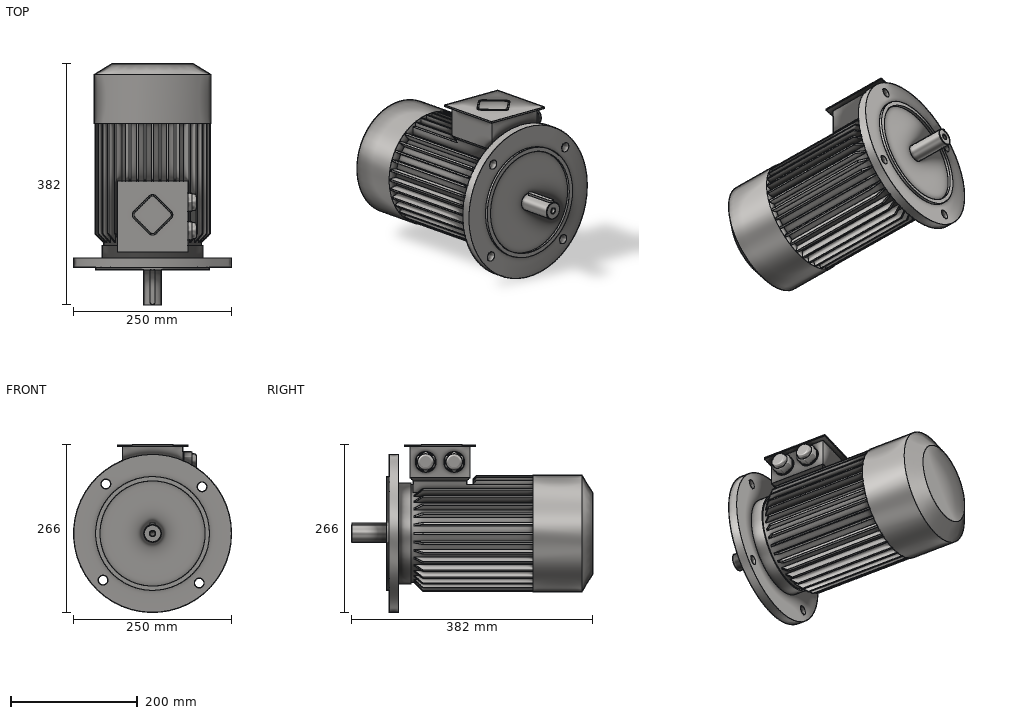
import cadquery as cq
import math


spigot_face_y = 55.8
flange_face_y = 60.0
flange_back_y = 75.0
neck_end_y = 94.7
fin_start_y = 99.5
cowl_start_y = 287.3
cowl_taper_y = 364.5
cowl_end_y = 382.0

shaft_diameter = 28.0
spigot_diameter = 180.0
recess_diameter = 166.0
flange_diameter = 250.0
neck_diameter = 160.0
core_diameter = 155.0
cowl_diameter = 185.0
cowl_end_diameter = 128.0
core_radius = core_diameter / 2

shaft_tip_chamfer = 0.8
center_hole_diameter = 8.5
center_hole_depth = 11.5
center_hole_point = 4.2
center_hole_chamfer = 0.8
key_width = 8.0
key_top_z = 16.8
key_tip_y = 1.0
key_length = 56.5

bolt_circle_diameter = 215.0
bolt_hole_diameter = 15.0
bolt_hole_count = 4
first_bolt_angle = 43.3

fin_thickness = 3.0
fin_tip_radius = 91.3
fin_angle_step = 10
first_fin_angle = -230
last_fin_angle = 50
top_fin_pitch = 12.0
top_fin_pairs = 3
top_fin_start_y = 192.5
top_fin_bevel = 5.5

box_center_y = 140.2
box_side = 95.5
box_bevel = 5.5
box_bottom_z = 83.3
lid_side = 111.5
lid_bottom_z = 137.0
lid_top_z = 140.0
pad_side = box_side - 2 * box_bevel
pad_start_y = box_center_y - pad_side / 2

frame_offset_y = 2.5
frame_center_y = box_center_y + frame_offset_y
frame_side = 49.5
frame_width = 2.3
frame_corner_radius = 7.5
frame_height = 1.0

gland_center_z = 113.0
gland_spacing = 45.0
gland_diameter = 33.0
gland_collar_length = 2.0
nut_across_flats = 29.0
nut_end_x = 62.5
nut_rounding = 2.3
cap_diameter = 26.0
cap_end_x = 69.5
cap_rounding = 4.2


def block(size_x, start_y, end_y, bottom_z, top_z):
    """Box centered on X = 0."""
    plane = cq.Workplane("XY", origin=(0, (start_y + end_y) / 2, bottom_z))
    return plane.rect(size_x, end_y - start_y).extrude(top_z - bottom_z)


def turned_body():
    """Shaft, recessed spigot, flange, neck, core and tapered fan cowl as one revolved profile."""
    profile = [
        (0, 0),
        (shaft_diameter / 2 - shaft_tip_chamfer, 0),
        (shaft_diameter / 2, shaft_tip_chamfer),
        (shaft_diameter / 2, flange_face_y),
        (recess_diameter / 2, flange_face_y),
        (recess_diameter / 2, spigot_face_y),
        (spigot_diameter / 2, spigot_face_y),
        (spigot_diameter / 2, flange_face_y),
        (flange_diameter / 2, flange_face_y),
        (flange_diameter / 2, flange_back_y),
        (neck_diameter / 2, flange_back_y),
        (neck_diameter / 2, neck_end_y),
        (core_radius, neck_end_y),
        (core_radius, cowl_start_y),
        (cowl_diameter / 2, cowl_start_y),
        (cowl_diameter / 2, cowl_taper_y),
        (cowl_end_diameter / 2, cowl_end_y),
        (0, cowl_end_y),
    ]
    return cq.Workplane("XY").polyline(profile).close().revolve(360, (0, 0, 0), (0, 1, 0))


def shaft_key():
    """Round-ended key along the top of the shaft."""
    plane = cq.Workplane("XY", origin=(0, key_tip_y + key_length / 2, 0))
    return plane.slot2D(key_length, key_width, 90).extrude(key_top_z)


def center_hole():
    """Drilled hole in the shaft tip with a chamfered mouth and a conical bottom."""
    radius = center_hole_diameter / 2
    profile = [
        (0, 0),
        (radius + center_hole_chamfer, 0),
        (radius, center_hole_chamfer),
        (radius, center_hole_depth - center_hole_point),
        (0, center_hole_depth),
    ]
    return cq.Workplane("XY").polyline(profile).close().revolve(360, (0, 0, 0), (0, 1, 0))


def bolt_holes():
    """Through holes on the flange bolt circle."""
    plane = cq.Workplane("XZ", origin=(0, flange_face_y, 0))
    centers = plane.polarArray(bolt_circle_diameter / 2, first_bolt_angle, 360, bolt_hole_count)
    return centers.circle(bolt_hole_diameter / 2).extrude(flange_face_y - flange_back_y)


def radial_fins():
    """Radial fins around the sides and bottom, with front ends sloping at 45 degrees."""
    root_radius = core_radius - fin_thickness
    slope_length = fin_tip_radius - core_radius
    profile = [
        (root_radius, fin_start_y),
        (core_radius, fin_start_y),
        (fin_tip_radius, fin_start_y + slope_length),
        (fin_tip_radius, cowl_start_y),
        (root_radius, cowl_start_y),
    ]
    fin = cq.Workplane("XY").polyline(profile).close().extrude(fin_thickness / 2, both=True)
    fins = cq.Workplane("XY")
    for angle in range(first_fin_angle, last_fin_angle + 1, fin_angle_step):
        fins = fins.add(fin.rotate((0, 0, 0), (0, -1, 0), angle))
    return fins.combine()


def top_fins():
    """Upright parallel fins between the terminal box and the cowl."""
    fins = cq.Workplane("XY")
    for index in range(-top_fin_pairs, top_fin_pairs + 1):
        x = index * top_fin_pitch
        top_z = math.sqrt(fin_tip_radius**2 - x**2)
        profile = [
            (top_fin_start_y, core_radius - fin_thickness),
            (top_fin_start_y, top_z - top_fin_bevel),
            (top_fin_start_y + top_fin_bevel, top_z),
            (cowl_start_y, top_z),
            (cowl_start_y, core_radius - fin_thickness),
        ]
        plane = cq.Workplane("YZ", origin=(x, 0, 0))
        fins = fins.add(plane.polyline(profile).close().extrude(fin_thickness / 2, both=True))
    return fins.combine()


def terminal_box():
    """Flat pad on the core, box with a beveled underside, and overhanging lid."""
    pad = block(pad_side, pad_start_y, cowl_start_y, 0, core_radius)
    base = block(pad_side, pad_start_y, pad_start_y + pad_side, 0, box_bottom_z)
    box_start_y = box_center_y - box_side / 2
    box = block(box_side, box_start_y, box_start_y + box_side, box_bottom_z, lid_bottom_z)
    box = box.faces("<Z").chamfer(box_bevel)
    lid_start_y = box_center_y - lid_side / 2
    lid = block(lid_side, lid_start_y, lid_start_y + lid_side, lid_bottom_z, lid_top_z)
    return pad.union(base).union(box).union(lid)


def lid_frame():
    """Raised rounded-square frame turned 45 degrees on the lid."""

    def rounded_square(side, corner_radius):
        square = cq.Workplane("XY").rect(side, side).extrude(frame_height)
        return square.edges("|Z").fillet(corner_radius)

    inner_side = frame_side - 2 * frame_width
    frame = rounded_square(frame_side, frame_corner_radius)
    frame = frame.cut(rounded_square(inner_side, frame_corner_radius - frame_width))
    return frame.rotate((0, 0, 0), (0, 0, 1), 45).translate((0, frame_center_y, lid_top_z))


def cable_gland(center_y):
    """Round collar, rounded hexagonal nut with a corner up, and rounded cap, pointing along +X."""
    box_wall_x = box_side / 2
    plane = cq.Workplane("YZ", origin=(box_wall_x, center_y, gland_center_z))
    nut_length = nut_end_x - box_wall_x
    collar = plane.circle(gland_diameter / 2).extrude(gland_collar_length)
    across_corners = nut_across_flats / math.cos(math.pi / 6)
    nut = plane.polygon(6, across_corners).extrude(nut_length)
    nut = nut.edges("|X").fillet(nut_rounding).faces(">X").edges().fillet(nut_rounding)
    nut = nut.rotate((0, center_y, gland_center_z), (1, center_y, gland_center_z), 90)
    cap = plane.circle(cap_diameter / 2).extrude(cap_end_x - box_wall_x)
    cap = cap.faces(">X").edges().fillet(cap_rounding)
    return nut.union(collar).union(cap)


result = turned_body().union(shaft_key()).cut(center_hole()).cut(bolt_holes())
result = result.union(radial_fins()).union(top_fins())
result = result.union(terminal_box()).union(lid_frame())
for side in (-1, 1):
    result = result.union(cable_gland(box_center_y + side * gland_spacing / 2))